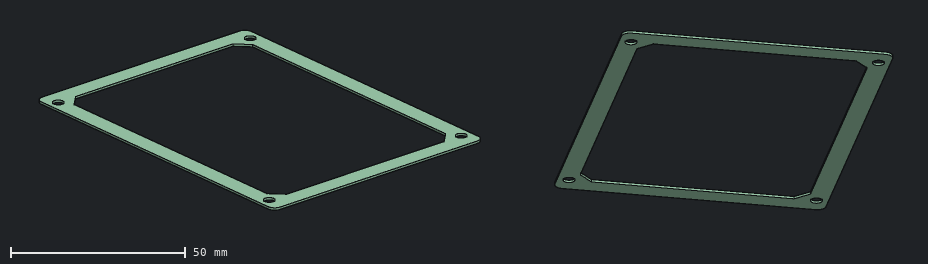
import cadquery as cq

length = 105.0
width = 79.0
thickness = 0.8
corner_radius = 2.5

border = 6.0
window_chamfer = 4.0

hole_diameter = 3.4
hole_inset_x = border
hole_inset_y = 3.5


def make_plate():
    plate = cq.Workplane("XY").box(length, width, thickness)
    return plate.edges("|Z").fillet(corner_radius)


def make_window():
    window = cq.Workplane("XY").box(length - 2 * border, width - 2 * border, thickness)
    return window.edges("|Z").chamfer(window_chamfer)


def make_holes():
    spacing_x = length - 2 * hole_inset_x
    spacing_y = width - 2 * hole_inset_y
    return (
        cq.Workplane("XY")
        .rect(spacing_x, spacing_y, forConstruction=True)
        .vertices()
        .circle(hole_diameter / 2)
        .extrude(thickness / 2, both=True)
    )


result = make_plate().cut(make_window()).cut(make_holes())